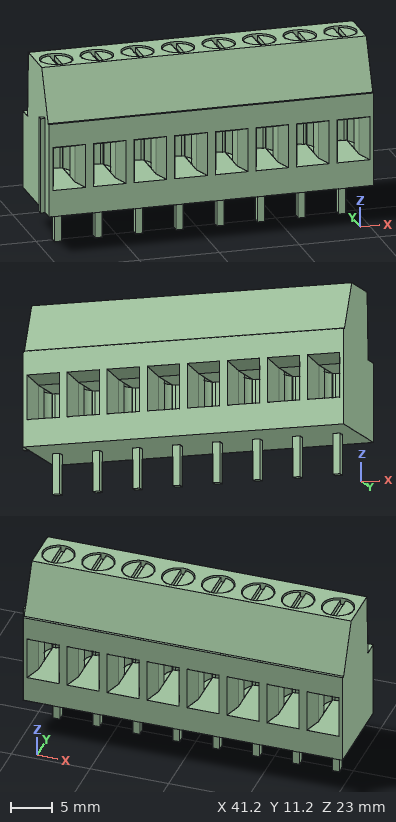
import cadquery as cq

overall_length = 41.2
rib_projection = 0.58
housing_length = overall_length - rib_projection
housing_depth = 11.2
housing_height = 18.0
front_height = 11.8
front_ledge = 0.35
top_front = 3.1
top_back = housing_depth - 2.35
step_front = housing_depth - 1.98
step_height = 9.75

pole_count = 8
row_length = 35.55
pitch = row_length / (pole_count - 1)
first_pole = (housing_length - row_length) / 2

rib_center = 1.95
rib_outer_width = 0.75
rib_root_width = 0.45
rib_height = 12.05

pin_width = 0.9
pin_thickness = 1.0
pin_length = 5.0
pin_center = 5.27

screw_center = 5.55
screw_diameter = 3.8
screw_hole_diameter = 4.0
ring_depth = 1.0
screw_drop = 0.2
slot_width = 0.65
slot_depth = 0.6

mouth_width = 4.1
mouth_top = 8.8
mouth_floor = 3.35
funnel_depth = 2.2
throat_width = 2.68
throat_top = 7.95
throat_back = 7.2
throat_back_width = 2.55
throat_back_top = 7.9
back_floor = 3.45


def box(x_range, y_range, z_range):
    """Axis-aligned box between the given limits."""
    sizes = [high - low for low, high in (x_range, y_range, z_range)]
    corner = (x_range[0], y_range[0], z_range[0])
    return cq.Workplane("XY").box(*sizes, centered=False).translate(corner)


def around(center, width):
    """Limits of a width centered on a position."""
    return (center - width / 2, center + width / 2)


def make_housing():
    profile = [
        (0, 0),
        (housing_depth, 0),
        (housing_depth, step_height),
        (step_front, step_height),
        (top_back, housing_height),
        (top_front, housing_height),
        (front_ledge, front_height),
        (0, front_height),
    ]
    return cq.Workplane("YZ").polyline(profile).close().extrude(housing_length)


def make_rib():
    root_front, root_back = around(rib_center, rib_root_width)
    outer_front, outer_back = around(rib_center, rib_outer_width)
    section = [
        (0, root_front),
        (-rib_projection, outer_front),
        (-rib_projection, outer_back),
        (0, root_back),
    ]
    return cq.Workplane("XY").polyline(section).close().extrude(rib_height)


def make_pin(x):
    return box(around(x, pin_width), around(pin_center, pin_thickness), (-pin_length, 0))


def disc(x, diameter, bottom, top):
    """Upright cylinder on the screw axis of the pole at x."""
    base = cq.Workplane("XY", origin=(x, screw_center, bottom))
    return base.circle(diameter / 2).extrude(top - bottom)


def make_screw_cut(x):
    """Clearance ring around the screw, the space above its head, and its slot."""
    head_top = housing_height - screw_drop
    ring_bottom = housing_height - ring_depth
    hole = disc(x, screw_hole_diameter, ring_bottom, housing_height)
    head = disc(x, screw_diameter, ring_bottom, head_top)
    slot = box(
        around(x, slot_width),
        around(screw_center, screw_hole_diameter),
        (head_top - slot_depth, head_top),
    )
    return hole.cut(head.cut(slot))


def floor_at(y):
    """Height of the gently rising opening floor at a given depth."""
    return mouth_floor + (back_floor - mouth_floor) * y / throat_back


def tapered_pocket(x, front, back):
    """Four-sided pocket between two sections, each given as (depth, width, top)."""
    sections = []
    for y, width, top in (front, back):
        bottom = floor_at(y)
        center = cq.Vector(x, y, (bottom + top) / 2)
        plane = cq.Plane(origin=center, xDir=(1, 0, 0), normal=(0, -1, 0))
        sections.append(cq.Workplane(plane).rect(width, top - bottom).wires().val())
    return cq.Workplane(cq.Solid.makeLoft(sections, True))


def make_wire_cut(x):
    """Funnel mouth, drafted throat and the upright round chamber behind it."""
    mouth = (0, mouth_width, mouth_top)
    throat_entry = (funnel_depth, throat_width, throat_top)
    throat_end = (throat_back, throat_back_width, throat_back_top)
    funnel = tapered_pocket(x, mouth, throat_entry)
    throat = tapered_pocket(x, throat_entry, throat_end)
    chamber = disc(x, screw_diameter, back_floor, throat_back_top)
    return funnel.union(throat).union(chamber)


result = make_housing().union(make_rib())
for pole in range(pole_count):
    pole_x = first_pole + pole * pitch
    result = result.union(make_pin(pole_x))
    result = result.cut(make_screw_cut(pole_x))
    result = result.cut(make_wire_cut(pole_x))